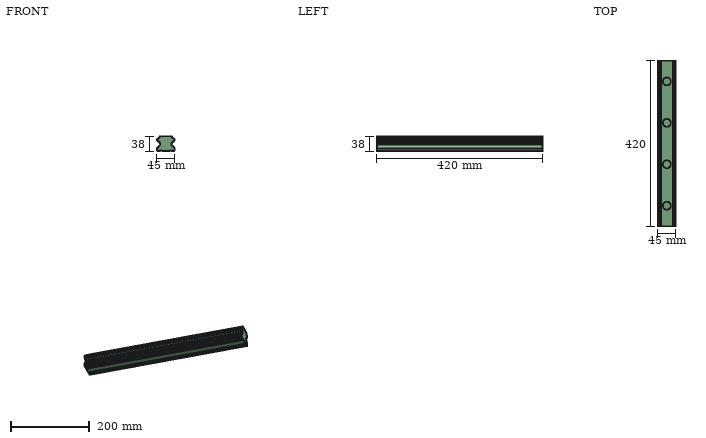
import cadquery as cq

length = 420.0
width = 45.0
height = 38.0
half_width = width / 2

head_half_width = 16.0
head_chamfer = 1.3
head_side_bottom = 35.5

ridge_middle = 28.0
ridge_flat = 2.5
ridge_slope = 3.0
groove_radius = 3.8

waist_half_width = 14.5
waist_chamfer = head_half_width - waist_half_width
waist_bottom = 16.0

foot_side_top = 7.0
foot_chamfer = 2.0

notch_outer = 15.5
notch_peak = 13.5
notch_inner = 8.5
notch_depth = 2.0

cap_diameter = 20.0
cap_recess = 0.5
cap_count = 4
cap_pitch = length / cap_count

ridge_top = ridge_middle + ridge_flat / 2
ridge_bottom = ridge_middle - ridge_flat / 2
ridge_root = half_width - ridge_slope
upper_groove_end = ridge_top + ridge_slope
lower_groove_start = ridge_bottom - ridge_slope
lower_groove_end = 2 * ridge_middle - head_side_bottom


def half_rail():
    """Rail on the +X side of the middle plane, extruded along Y."""
    profile = (
        cq.Workplane("XZ", origin=(0, length / 2, 0))
        .moveTo(0, height)
        .lineTo(head_half_width - head_chamfer, height)
        .lineTo(head_half_width, height - head_chamfer)
        .lineTo(head_half_width, head_side_bottom)
        .radiusArc((ridge_root, upper_groove_end), -groove_radius)
        .lineTo(half_width, ridge_top)
        .lineTo(half_width, ridge_bottom)
        .lineTo(ridge_root, lower_groove_start)
        .radiusArc((head_half_width, lower_groove_end), -groove_radius)
        .lineTo(waist_half_width, lower_groove_end - waist_chamfer)
        .lineTo(waist_half_width, waist_bottom)
        .lineTo(half_width, foot_side_top)
        .lineTo(half_width, foot_chamfer)
        .lineTo(half_width - foot_chamfer, 0)
        .lineTo(notch_outer, 0)
        .lineTo(notch_peak, notch_depth)
        .lineTo(notch_inner, 0)
        .lineTo(0, 0)
        .close()
    )
    return profile.extrude(length)


def cap_recesses():
    """Shallow round recesses evenly spaced along the top face."""
    return (
        cq.Workplane("XY", origin=(0, 0, height))
        .rarray(4, cap_pitch, 1, cap_count)
        .circle(cap_diameter / 2)
        .extrude(-cap_recess)
    )


right_half = half_rail()
rail = right_half.union(right_half.mirror("YZ")).clean()
result = rail.cut(cap_recesses())